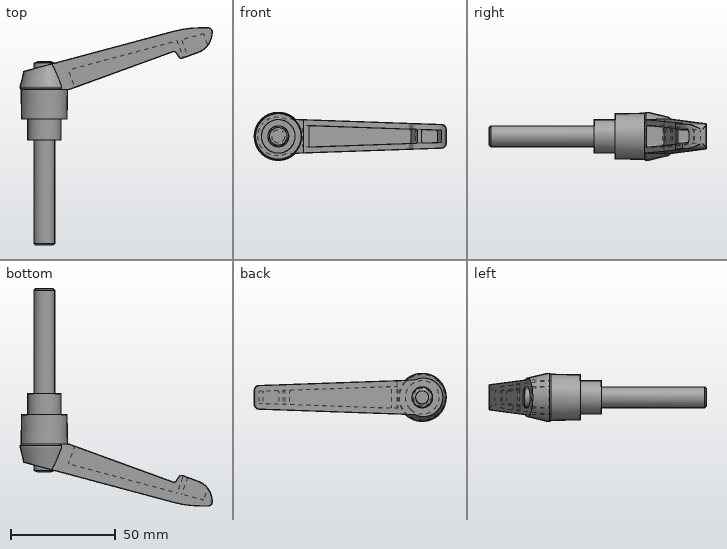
import math

import cadquery as cq


stud_diameter = 10.0
stud_length = 50.0
stud_chamfer = 0.8
collar_diameter = 16.0
collar_height = 10.0

skirt_bottom_radius = 10.85
skirt_top_radius = 11.1
skirt_top = 24.05
flange_radius = 11.49
flange_chamfer_height = 0.65
flange_top = 25.7
hub_cone_angle = 13.5

screw_radius = stud_diameter / 2
screw_cone_start = 35.9
screw_shoulder = 36.6
screw_shoulder_radius = 4.8
screw_top = 37.3
screw_tip_radius = 3.1

overall_reach = 80.01
arm_top = 53.5
back_angle = 15.0
back_on_axis = 35.3
back_radius = 47.0
belly_angle = 20.0
belly_start_x = 11.9
notch_x = 62.2
notch_angle = 56.5
grip_depth = 4.7
notch_root_fillet = 1.0
notch_lip_fillet = 1.4
tip_arc_start_x = 73.1

arm_half_width_on_axis = 8.38
side_taper = 2.0
tip_corner_radius = 2.5

wall = 2.7
roof_height = 5.0
pocket_start_x = 14.5
pocket_end_x = 66.2
tip_pocket_start_x = 68.3
tip_pocket_end_x = 77.75
tip_pocket_end_y = 45.3
pocket_corner_radius = 0.9

back_slope = math.tan(math.radians(back_angle))
belly_slope = math.tan(math.radians(belly_angle))
belly_cos = math.cos(math.radians(belly_angle))
belly_sin = math.sin(math.radians(belly_angle))
taper_slope = math.tan(math.radians(side_taper))
clearance = 2 * flange_radius
block_end_x = overall_reach + clearance
block_top = back_on_axis + block_end_x


def back_y(x):
    """Height of the straight sloping back at x."""
    return back_on_axis + back_slope * x


def belly_y(x):
    """Height of the underside between hub and notch at x."""
    return skirt_top + belly_slope * (x - belly_start_x)


notch_slope = math.tan(math.radians(notch_angle))
notch_lip_x = notch_x + grip_depth / (notch_slope + belly_slope)


def grip_y(x):
    """Height of the underside beyond the notch at x."""
    return belly_y(x) - grip_depth


def half_width(x):
    """Half of the arm width in Z at x."""
    return arm_half_width_on_axis - taper_slope * x


def above_back(drop):
    """Block filling the space above the sloping back line, lowered by drop."""
    return (
        cq.Workplane("XY")
        .polyline([
            (-clearance, back_y(-clearance) - drop),
            (block_end_x, back_y(block_end_x) - drop),
            (block_end_x, block_top),
            (-clearance, block_top),
        ])
        .close()
        .extrude(clearance, both=True)
    )


def revolved(points):
    """Solid of revolution about the stud axis from (radius, y) points."""
    return cq.Workplane("XY").polyline(points).close().revolve(360, (0, 0, 0), (0, 1, 0))


def corner_edge(x, y):
    """Selector for the edge along Z that passes through the corner (x, y)."""
    return cq.selectors.NearestToPointSelector((x, y, 0))


def make_stud():
    radius = stud_diameter / 2
    return revolved([
        (0, -stud_length),
        (radius - stud_chamfer, -stud_length),
        (radius, stud_chamfer - stud_length),
        (radius, 0),
        (0, 0),
    ])


def make_hub():
    cone_top_radius = flange_radius - (arm_top - flange_top) * math.tan(math.radians(hub_cone_angle))
    hub = revolved([
        (0, 0),
        (collar_diameter / 2, 0),
        (collar_diameter / 2, collar_height),
        (skirt_bottom_radius, collar_height),
        (skirt_top_radius, skirt_top),
        (flange_radius, skirt_top + flange_chamfer_height),
        (flange_radius, flange_top),
        (cone_top_radius, arm_top),
        (0, arm_top),
    ])
    return hub.cut(above_back(0))


def make_arm():
    back_corner_x = (arm_top - back_on_axis) / back_slope
    back_tangent = back_radius * math.tan(math.radians(back_angle / 2))
    back_end_x = back_corner_x - back_tangent * math.cos(math.radians(back_angle))
    level_start_x = back_corner_x + back_tangent

    tip_radius = (overall_reach - tip_arc_start_x) / (1 - belly_sin)
    tip_arc_end_y = grip_y(tip_arc_start_x) + tip_radius * belly_cos
    nose_radius = arm_top - tip_arc_end_y

    side = (
        cq.Workplane("XY")
        .moveTo(0, skirt_top)
        .lineTo(belly_start_x, skirt_top)
        .lineTo(notch_x, belly_y(notch_x))
        .lineTo(notch_lip_x, grip_y(notch_lip_x))
        .lineTo(tip_arc_start_x, grip_y(tip_arc_start_x))
        .tangentArcPoint((overall_reach, tip_arc_end_y), relative=False)
        .tangentArcPoint((overall_reach - nose_radius, arm_top), relative=False)
        .lineTo(level_start_x, arm_top)
        .tangentArcPoint((back_end_x, back_y(back_end_x)), relative=False)
        .lineTo(0, back_on_axis)
        .close()
        .extrude(clearance, both=True)
    )
    side = side.edges(corner_edge(notch_x, belly_y(notch_x))).fillet(notch_root_fillet)
    side = side.edges(corner_edge(notch_lip_x, grip_y(notch_lip_x))).fillet(notch_lip_fillet)

    tip_half_width = half_width(overall_reach)
    plan = (
        cq.Workplane("XZ")
        .polyline([
            (0, -half_width(0)),
            (overall_reach, -tip_half_width),
            (overall_reach, tip_half_width),
            (0, half_width(0)),
        ])
        .close()
        .extrude(-block_top)
        .edges("|Y and >X")
        .fillet(tip_corner_radius)
    )
    return side.intersect(plan)


def make_pocket(start_x, end_x, start_y, end_y):
    """Rounded pocket sunk square to the belly, from a start to an end mouth edge, up to the common floor."""
    belly_along = (belly_cos, belly_sin, 0)
    belly_inward = (-belly_sin, belly_cos, 0)
    length = (end_x - start_x) * belly_cos + (end_y - start_y) * belly_sin
    start_half = half_width(start_x) - wall
    end_half = half_width(end_x) - wall
    plane = cq.Plane(origin=(start_x, start_y, 0), xDir=belly_along, normal=belly_inward)
    shaft = (
        cq.Workplane(plane)
        .workplane(offset=-grip_depth)
        .polyline([(0, -start_half), (length, -end_half), (length, end_half), (0, start_half)])
        .close()
        .extrude(clearance + grip_depth)
        .edges(cq.selectors.ParallelDirSelector(cq.Vector(*belly_inward)))
        .fillet(pocket_corner_radius)
    )
    return shaft.cut(above_back(roof_height))


def make_screw():
    return revolved([
        (0, skirt_top),
        (screw_radius, skirt_top),
        (screw_radius, screw_cone_start),
        (screw_shoulder_radius, screw_shoulder),
        (screw_tip_radius, screw_top),
        (0, screw_top),
    ])


main_pocket = make_pocket(
    pocket_start_x, pocket_end_x, belly_y(pocket_start_x), grip_y(pocket_end_x)
)
tip_pocket = make_pocket(
    tip_pocket_start_x, tip_pocket_end_x, grip_y(tip_pocket_start_x), tip_pocket_end_y
)
arm = make_arm().cut(main_pocket).cut(tip_pocket)
result = arm.union(make_hub()).union(make_stud()).union(make_screw())